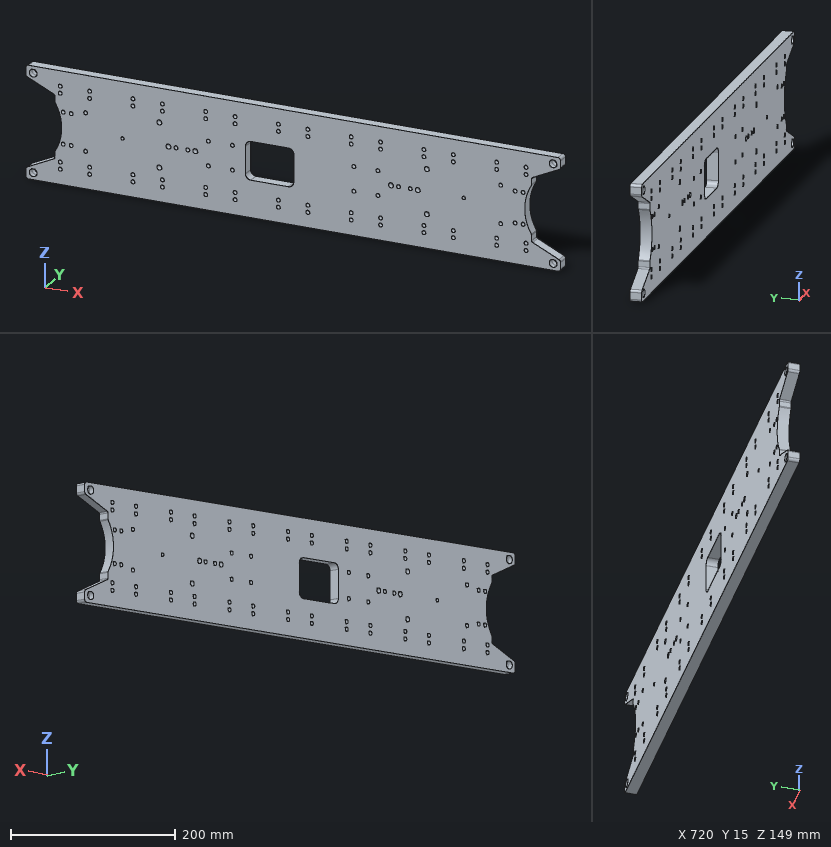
import cadquery as cq

LENGTH = 720.0
THICKNESS = 15.0
HEIGHT = 149.0

TIP_Z = 60.0
SHOULDER_X = 321.0
SHOULDER_OUTER_Z = 42.0
SHOULDER_INNER_Z = 32.5
ARC_MIDDLE_X = 312.0

END_RADIUS = 3.5
SHOULDER_RADIUS = 2.0

WINDOW_WIDTH = 65.0
WINDOW_HEIGHT = 50.5
WINDOW_CENTRE_X = -32.0
WINDOW_CORNER_RADIUS = 7.0

CORNER_HOLE = 10.0
LARGE_HOLE = 6.4
MEDIUM_HOLE = 5.0
SMALL_HOLE = 4.2

RAIL_PITCH = 98.0
RAIL_COLUMN_GAP = 39.5
RAIL_EDGE_MARGIN = 20.0
RAIL_ROW_GAP = 9.0
RAIL_OUTER_Z = HEIGHT / 2 - RAIL_EDGE_MARGIN
RAIL_ROWS_Z = (RAIL_OUTER_Z - RAIL_ROW_GAP, RAIL_OUTER_Z)
RAIL_PITCH_COUNT = 3

CORNER_END_MARGIN = 10.0
CORNER_EDGE_MARGIN = 9.0
CORNER_HOLE_X = LENGTH / 2 - CORNER_END_MARGIN
CORNER_HOLE_Z = HEIGHT / 2 - CORNER_EDGE_MARGIN

END_PAIR_X = (299.0, 309.5)
END_PAIR_Z = 21.0
INNER_END_X = 279.0
INNER_END_Z = 25.0

SQUARE_CENTRE_X = 98.0
SQUARE_SIDE = 32.5

LINE_CENTRE_X = 150.0
LINE_OUTER_OFFSET = 18.0
LINE_INNER_OFFSET = 8.0
SIDE_HOLE_X = 180.0
SIDE_HOLE_Z = 29.5
PILOT_X = 230.0


def through_solid(sketch):
    """Extrude an XZ outline to the plate thickness, centred on Y = 0."""
    return sketch.extrude(THICKNESS / 2, both=True)


def make_plate():
    """Plate with a flared, round-bottomed cut-out in each end."""
    end_x = LENGTH / 2
    top_z = HEIGHT / 2
    outline = (
        cq.Workplane("XZ")
        .moveTo(0, top_z)
        .lineTo(end_x, top_z)
        .lineTo(end_x, TIP_Z)
        .lineTo(SHOULDER_X, SHOULDER_OUTER_Z)
        .lineTo(SHOULDER_X, SHOULDER_INNER_Z)
        .threePointArc((ARC_MIDDLE_X, 0), (SHOULDER_X, -SHOULDER_INNER_Z))
        .lineTo(SHOULDER_X, -SHOULDER_OUTER_Z)
        .lineTo(end_x, -TIP_Z)
        .lineTo(end_x, -top_z)
        .lineTo(0, -top_z)
        .mirrorY()
    )
    plate = through_solid(outline)
    plate = plate.faces("<X or >X").edges("|Y").fillet(END_RADIUS)

    inner_region = cq.selectors.BoxSelector(
        (-CORNER_HOLE_X, -THICKNESS, -CORNER_HOLE_Z),
        (CORNER_HOLE_X, THICKNESS, CORNER_HOLE_Z),
    )
    return plate.edges("|Y").edges(inner_region).fillet(SHOULDER_RADIUS)


def make_window():
    outline = cq.Workplane("XZ").center(WINDOW_CENTRE_X, 0).rect(WINDOW_WIDTH, WINDOW_HEIGHT)
    return through_solid(outline).edges("|Y").fillet(WINDOW_CORNER_RADIUS)


def mirrored(x, z):
    """The point and its mirror images about the plate's two centrelines."""
    z_values = (z, -z) if z else (0,)
    return [(side * x, z_value) for side in (-1, 1) for z_value in z_values]


def rail_points():
    half_gap = RAIL_COLUMN_GAP / 2
    columns = [half_gap]
    for i in range(1, RAIL_PITCH_COUNT + 1):
        columns += [i * RAIL_PITCH - half_gap, i * RAIL_PITCH + half_gap]
    return [point for x in columns for z in RAIL_ROWS_Z for point in mirrored(x, z)]


def end_points():
    points = mirrored(INNER_END_X, INNER_END_Z)
    for x in END_PAIR_X:
        points += mirrored(x, END_PAIR_Z)
    return points


def square_points():
    half_side = SQUARE_SIDE / 2
    inner = mirrored(SQUARE_CENTRE_X - half_side, half_side)
    outer = mirrored(SQUARE_CENTRE_X + half_side, half_side)
    return inner + outer


def line_points(offset):
    """Centreline points at the given offset either side of each group's middle."""
    return mirrored(LINE_CENTRE_X - offset, 0) + mirrored(LINE_CENTRE_X + offset, 0)


def make_holes(points, diameter):
    return through_solid(cq.Workplane("XZ").pushPoints(points).circle(diameter / 2))


medium_points = rail_points() + end_points() + square_points() + line_points(LINE_INNER_OFFSET)
large_points = line_points(LINE_OUTER_OFFSET) + mirrored(SIDE_HOLE_X, SIDE_HOLE_Z)

result = (
    make_plate()
    .cut(make_window())
    .cut(make_holes(mirrored(CORNER_HOLE_X, CORNER_HOLE_Z), CORNER_HOLE))
    .cut(make_holes(medium_points, MEDIUM_HOLE))
    .cut(make_holes(large_points, LARGE_HOLE))
    .cut(make_holes(mirrored(PILOT_X, 0), SMALL_HOLE))
)